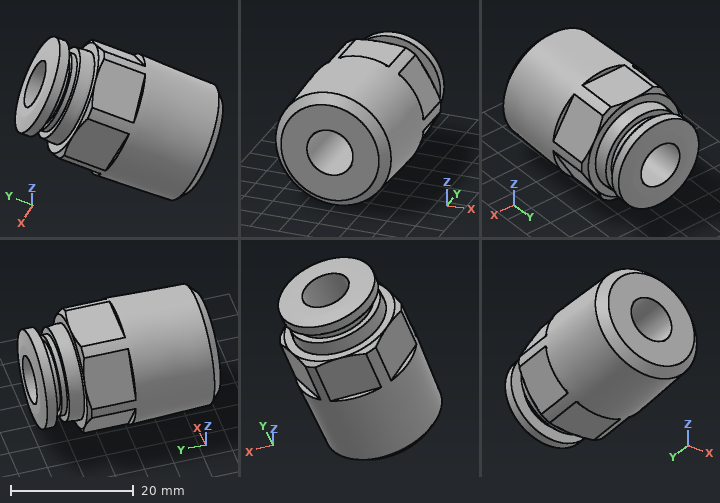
import cadquery as cq
import math

length = 29.85
bore_radius = 4.03

body_radius = 10.5
taper_end_radius = 10.12
nose_radius = 8.57
nose_length = 1.5
taper_end = 14.0
shoulder_end = 14.98

hex_across_flats = 19.1
hex_end = 23.0
hex_bevel_length = 0.55

collar_radius = 8.05
collar_top_radius = 7.9
collar_straight_end = 23.58
collar_end = 25.55

ring_radius = 6.78
ring_end = 26.48
neck_radius = 5.9
cap_start = 27.7
cap_radius = 8.35
cap_crown_height = 0.42
cap_crown_bulge = 0.055
cap_face_radius = 5.67


def turned(profile):
    """Revolve a (radius, Y) profile, closed along the axis, about the Y axis."""
    points = [(0, profile[0][1])] + profile + [(0, profile[-1][1])]
    return cq.Workplane("XY").polyline(points).close().revolve(360, (0, 0, 0), (0, 1, 0))


def threaded_end():
    return turned([
        (nose_radius, 0),
        (taper_end_radius, nose_length),
        (body_radius, taper_end),
        (body_radius, shoulder_end),
    ])


def hexagon():
    """Hexagon with flats facing +Z and -Z, trimmed to the body radius and bevelled."""
    corner_radius = hex_across_flats / 2 / math.cos(math.pi / 6)
    corner_angles = [i * math.pi / 3 for i in range(6)]
    corners = [(corner_radius * math.cos(a), corner_radius * math.sin(a)) for a in corner_angles]
    prism = (
        cq.Workplane("XZ", origin=(0, shoulder_end, 0))
        .polyline(corners)
        .close()
        .extrude(shoulder_end - hex_end)
    )
    envelope = turned([
        (body_radius, shoulder_end),
        (body_radius, hex_end - hex_bevel_length),
        (hex_across_flats / 2, hex_end),
    ])
    return prism.intersect(envelope)


def collar_and_neck():
    return turned([
        (collar_radius, hex_end),
        (collar_radius, collar_straight_end),
        (collar_top_radius, collar_end),
        (ring_radius, collar_end),
        (ring_radius, ring_end),
        (neck_radius, ring_end),
        (neck_radius, cap_start),
    ])


def cap():
    """Flanged cap whose rim curves slightly up to its flat end face."""
    return (
        cq.Workplane("XY")
        .moveTo(0, cap_start)
        .lineTo(cap_radius, cap_start)
        .lineTo(cap_radius, length - cap_crown_height)
        .sagittaArc((cap_face_radius, length), -cap_crown_bulge)
        .lineTo(0, length)
        .close()
        .revolve(360, (0, 0, 0), (0, 1, 0))
    )


bore = turned([(bore_radius, 0), (bore_radius, length)])

result = threaded_end().union(hexagon()).union(collar_and_neck()).union(cap()).cut(bore)